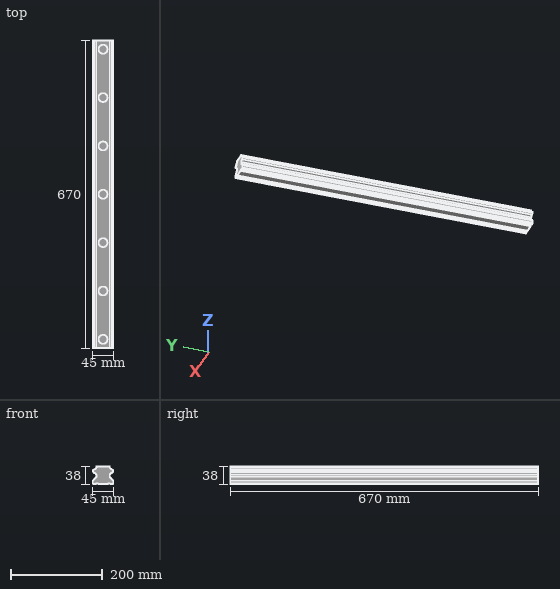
import cadquery as cq

length = 670.0
width = 45.0
height = 38.0
half_width = width / 2

top_half_width = 15.0
top_side_height = 2.0
groove_edge_x = 19.5
upper_groove_edge_z = 32.0
upper_groove_sag = 0.8
head_side_top_z = 29.5
head_side_bottom_z = 27.5
lower_groove_edge_z = 24.0
lower_groove_sag = 0.8

waist_half_width = 15.0
waist_top_z = 20.0
waist_bottom_z = 15.5

foot_side_top_z = 7.5
base_chamfer = 1.5

relief_inner_x = 10.0
relief_outer_x = 16.0
relief_depth = 1.7

hole_count = 7
hole_pitch = 105.0
hole_diameter = 19.5
recess_depth = 0.35


def half_profile():
    """Right half of the cross-section, closed along the centre line."""
    return (
        cq.Workplane("XZ", origin=(0, length / 2, 0))
        .moveTo(0, height)
        .lineTo(top_half_width, height)
        .lineTo(top_half_width, height - top_side_height)
        .sagittaArc((groove_edge_x, upper_groove_edge_z), -upper_groove_sag)
        .lineTo(half_width, head_side_top_z)
        .lineTo(half_width, head_side_bottom_z)
        .lineTo(groove_edge_x, lower_groove_edge_z)
        .sagittaArc((waist_half_width, waist_top_z), -lower_groove_sag)
        .lineTo(waist_half_width, waist_bottom_z)
        .lineTo(half_width, foot_side_top_z)
        .lineTo(half_width, base_chamfer)
        .lineTo(half_width - base_chamfer, 0)
        .lineTo(relief_outer_x, 0)
        .lineTo(relief_outer_x - relief_depth, relief_depth)
        .lineTo(relief_inner_x + relief_depth, relief_depth)
        .lineTo(relief_inner_x, 0)
        .lineTo(0, 0)
        .close()
    )


def rail_body():
    """Full rail: one half extruded along Y and mirrored about the centre plane."""
    half = half_profile().extrude(length)
    return half.union(half.mirror("YZ")).clean()


def top_recesses():
    """Cylinders that cut the row of recesses into the top face."""
    return (
        cq.Workplane("XY", origin=(0, 0, height))
        .rarray(7, hole_pitch, 1, hole_count)
        .circle(hole_diameter / 2)
        .extrude(-recess_depth)
    )


result = rail_body().cut(top_recesses())